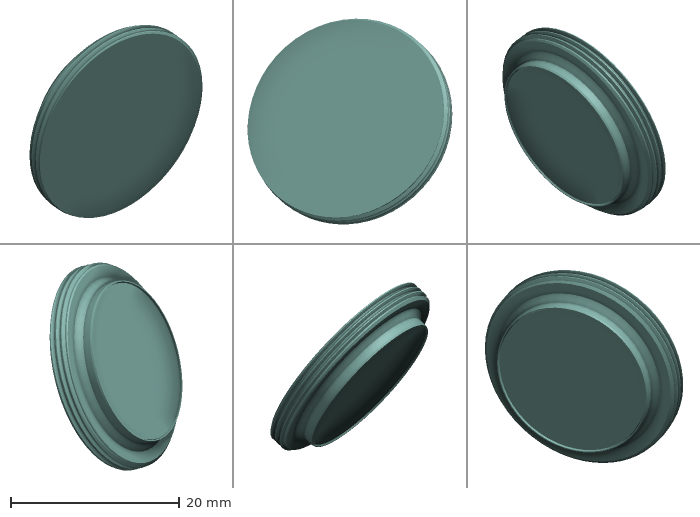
import cadquery as cq
import math

total_length = 4.5
outer_radius = 12.5
flange_start = 2.0
flange_chamfer = 0.5

neck_radius = 9.82
neck_length = 1.22
cone_end_radius = neck_radius + flange_start - neck_length
rim_chamfer_length = 0.25
rim_chamfer_height = 0.08

pocket_radius = 9.62
pocket_depth = 1.25
window_radius = 9.52
window_recess = 0.2

thread_pitch = 0.78
thread_depth = 0.4
root_width = 0.2
flank_slope = math.tan(math.radians(30))
crest_position = 3.38
cutter_overhang = 0.08


def make_housing_blank():
    """Turn the neck, cone and flange about X."""
    outline = [
        (0, 0),
        (0, neck_radius - rim_chamfer_height),
        (rim_chamfer_length, neck_radius),
        (neck_length, neck_radius),
        (flange_start, cone_end_radius),
        (flange_start, outer_radius - flange_chamfer),
        (flange_start + flange_chamfer, outer_radius),
        (total_length, outer_radius),
        (total_length, 0),
    ]
    return cq.Workplane("XY").polyline(outline).close().revolve(360, (0, 0, 0), (1, 0, 0))


def make_groove_turn():
    """Sweep the V groove through one turn of its helix, starting at X = 0 on the +Y side."""
    root_radius = outer_radius - thread_depth
    top_radius = outer_radius + cutter_overhang
    root_half = root_width / 2
    top_half = root_half + (top_radius - root_radius) * flank_slope

    helix = cq.Wire.makeHelix(thread_pitch, thread_pitch, root_radius)
    groove = (
        cq.Workplane("XZ")
        .polyline([
            (root_radius, -root_half),
            (top_radius, -top_half),
            (top_radius, top_half),
            (root_radius, root_half),
        ])
        .close()
        .sweep(cq.Workplane(obj=helix), isFrenet=True)
    )
    return groove.rotate((0, 0, 0), (1, 1, 1), 120)


def cut_thread(body):
    """Cut the groove turn by turn, so that it runs out past both flange faces."""
    turns_before = math.ceil((crest_position - flange_start) / thread_pitch) + 1
    turns_after = math.ceil((total_length - crest_position) / thread_pitch) + 1
    groove_turn = make_groove_turn()
    for turn in range(-turns_before, turns_after):
        groove_x = crest_position + (turn + 0.5) * thread_pitch
        body = body.cut(groove_turn.translate((groove_x, 0, 0)))
    return body


def make_housing():
    """Threaded housing with a blind window pocket in its front."""
    pocket = cq.Workplane("YZ").circle(pocket_radius).extrude(pocket_depth)
    return cut_thread(make_housing_blank()).cut(pocket)


def make_window():
    """Round window seated on the pocket floor, set back from the rim."""
    return (
        cq.Workplane("YZ", origin=(window_recess, 0, 0))
        .circle(window_radius)
        .extrude(pocket_depth - window_recess)
    )


housing = make_housing()
window = make_window()
result = cq.Compound.makeCompound([housing.val(), window.val()])